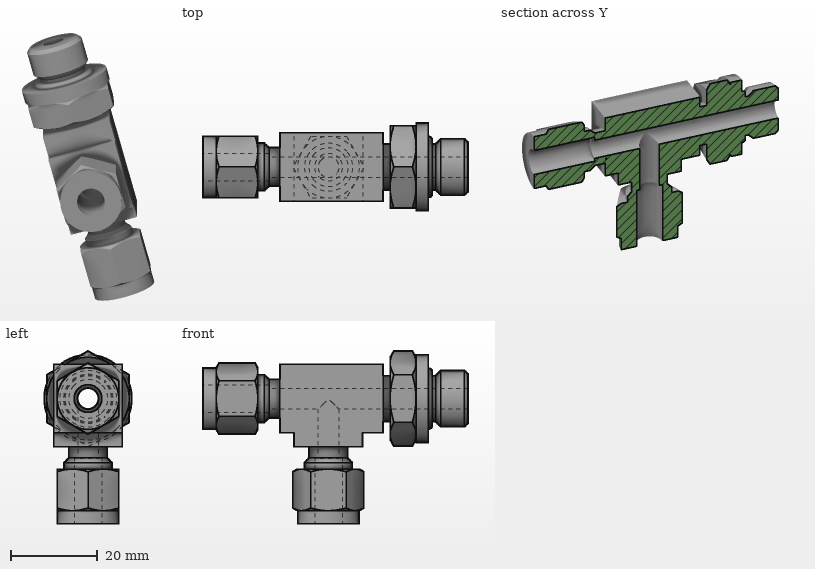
import cadquery as cq
import math


BODY_WIDTH = 15.88
BODY_REACH_ARM = 11.18
BODY_REACH_MALE = 12.66

ARM_REACH = 28.95
ARM_NECK_DIAMETER = 9.0
ARM_NECK_REACH = 13.7
ARM_THREAD_DIAMETER = 11.11
ARM_THREAD_REACH = 14.82
ARM_NUT_START = 16.27
ARM_NUT_HEX = 14.26
ARM_COLLAR_DIAMETER = 14.22
ARM_COLLAR_LENGTH = 3.05
TUBE_SOCKET_DIAMETER = 6.4
TUBE_SOCKET_DEPTH = 15.2

MALE_REACH = 32.26
MALE_NECK_DIAMETER = 10.67
MALE_HEX = 19.05
MALE_HEX_START = 14.27
MALE_HEX_END = 20.25
FLANGE_DIAMETER = 20.32
FLANGE_END = 23.12
SEAL_DIAMETER = 14.1
SEAL_LENGTH = 0.9
SEAL_ROUND = 0.85
MALE_THREAD_DIAMETER = 13.1
THREAD_RUNOUT_START = 24.75
THREAD_START = 26.0
THREAD_CHAMFER = 0.85

BORE_DIAMETER = 4.8
HEX_CHAMFER_ANGLE = 30


def turned(profile):
    """Revolve a list of (radius, height) points about Z."""
    return cq.Workplane("XZ").polyline(profile).close().revolve(360, (0, 0, 0), (0, 1, 0))


def cylinder(diameter, start, end):
    """Cylinder on the Z axis between two heights."""
    return cq.Workplane("XY").workplane(offset=start).circle(diameter / 2).extrude(end - start)


def chamfered_hex(across_flats, face_diameter, start, end):
    """Hexagon on the Z axis, corners along X, both ends chamfered by a cone."""
    corner_radius = across_flats / math.sqrt(3)
    face_radius = face_diameter / 2
    drop = (corner_radius - face_radius) * math.tan(math.radians(HEX_CHAMFER_ANGLE))
    prism = (
        cq.Workplane("XY")
        .workplane(offset=start)
        .polygon(6, 2 * corner_radius)
        .extrude(end - start)
    )
    envelope = turned([
        (0, start),
        (face_radius, start),
        (corner_radius, start + drop),
        (corner_radius, end - drop),
        (face_radius, end),
        (0, end),
    ])
    return prism.intersect(envelope)


def along_x(shape):
    """Turn a shape built along +Z to point along +X, hexagon corners up and down."""
    return shape.rotate((0, 0, 0), (0, 1, 0), 90)


def make_body():
    run_length = BODY_REACH_ARM + BODY_REACH_MALE
    run = cq.Workplane("XY").box(run_length, BODY_WIDTH, BODY_WIDTH)
    run = run.translate(((BODY_REACH_MALE - BODY_REACH_ARM) / 2, 0, 0))
    branch = (
        cq.Workplane("XY")
        .rect(BODY_WIDTH, BODY_WIDTH)
        .extrude(-BODY_REACH_ARM)
    )
    return run.union(branch)


def make_arm():
    """Tube arm along +Z: neck, thread end, hexagon nut and collar."""
    neck_radius = ARM_NECK_DIAMETER / 2
    thread_radius = ARM_THREAD_DIAMETER / 2
    hex_end = ARM_REACH - ARM_COLLAR_LENGTH
    stem = turned([
        (0, 0),
        (neck_radius, 0),
        (neck_radius, ARM_NECK_REACH),
        (thread_radius, ARM_THREAD_REACH),
        (thread_radius, hex_end),
        (0, hex_end),
    ])
    nut = chamfered_hex(ARM_NUT_HEX, ARM_COLLAR_DIAMETER, ARM_NUT_START, hex_end)
    collar = cylinder(ARM_COLLAR_DIAMETER, hex_end, ARM_REACH)
    return stem.union(nut).union(collar)


def make_arm_bore():
    """Cutter along +Z: through bore and the wider tube socket."""
    socket = cylinder(TUBE_SOCKET_DIAMETER, ARM_REACH - TUBE_SOCKET_DEPTH, ARM_REACH)
    return cylinder(BORE_DIAMETER, 0, ARM_REACH).union(socket)


def make_male_end():
    """Male end along +Z: neck, hexagon, flange, seal ring and thread."""
    neck_radius = MALE_NECK_DIAMETER / 2
    thread_radius = MALE_THREAD_DIAMETER / 2
    stem = turned([
        (0, 0),
        (neck_radius, 0),
        (neck_radius, THREAD_RUNOUT_START),
        (thread_radius, THREAD_START),
        (thread_radius, MALE_REACH - THREAD_CHAMFER),
        (thread_radius - THREAD_CHAMFER, MALE_REACH),
        (0, MALE_REACH),
    ])
    hexagon = chamfered_hex(MALE_HEX, MALE_HEX, MALE_HEX_START, MALE_HEX_END)
    flange = cylinder(FLANGE_DIAMETER, MALE_HEX_END, FLANGE_END)
    seal = cylinder(SEAL_DIAMETER, FLANGE_END, FLANGE_END + SEAL_LENGTH)
    seal = seal.faces(">Z").edges().fillet(SEAL_ROUND)
    return stem.union(hexagon).union(flange).union(seal)


def make_tee():
    """Join the body and its three ends, then cut the bores that meet inside."""
    arm = make_arm()
    arm_bore = make_arm_bore()
    male_bore = cylinder(BORE_DIAMETER, 0, MALE_REACH)
    tee = make_body()
    tee = tee.union(along_x(make_male_end()))
    tee = tee.union(along_x(arm).mirror("YZ"))
    tee = tee.union(arm.mirror("XY"))
    tee = tee.cut(along_x(male_bore))
    tee = tee.cut(along_x(arm_bore).mirror("YZ"))
    return tee.cut(arm_bore.mirror("XY"))


result = make_tee()